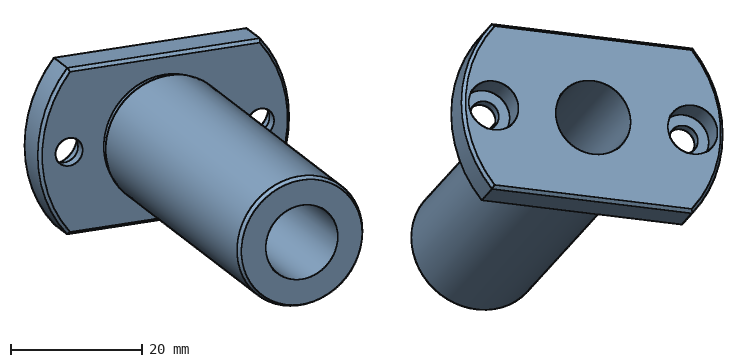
import cadquery as cq
import math

length = 57.0
flange_diameter = 42.0
flange_height = 27.0
flange_thickness = 6.0
flange_chamfer = 0.5

sleeve_diameter = 21.0
bore_diameter = 12.0
groove_width = 1.25
groove_depth = 0.35
groove_radius = 1.25
end_chamfer_length = 0.75
end_chamfer_depth = 0.4

bolt_circle_diameter = 32.0
bolt_hole_diameter = 4.5
counterbore_diameter = 8.0
counterbore_depth = 4.3


def make_flange():
    """Round flange with flats on top and bottom, chamfered on both faces."""
    disc = cq.Workplane("YZ").circle(flange_diameter / 2).extrude(flange_thickness)
    flats = cq.Workplane("YZ").rect(flange_diameter, flange_height).extrude(flange_thickness)
    return disc.intersect(flats).faces("<X or >X").chamfer(flange_chamfer)


def make_sleeve():
    """Sleeve turned about the X axis, with a round groove behind the flange and a chamfered free end."""
    radius = sleeve_diameter / 2
    groove_end = flange_thickness + groove_width

    groove_bottom = radius - groove_depth
    half_chord = math.sqrt(groove_radius**2 - (groove_radius - groove_depth) ** 2)
    groove_bottom_x = groove_end - half_chord
    arc_center = groove_bottom + groove_radius
    groove_start = arc_center - math.sqrt(groove_radius**2 - (groove_bottom_x - flange_thickness) ** 2)

    profile = (
        cq.Workplane("XY")
        .lineTo(0, groove_start)
        .lineTo(flange_thickness, groove_start)
        .threePointArc((groove_bottom_x, groove_bottom), (groove_end, radius))
        .lineTo(length - end_chamfer_length, radius)
        .lineTo(length, radius - end_chamfer_depth)
        .lineTo(length, 0)
        .close()
    )
    return profile.revolve(360, (0, 0, 0), (1, 0, 0))


def cut_holes(body):
    """Cut the through bore and the two counterbored mounting holes from the flange face."""
    hole_offset = bolt_circle_diameter / 2
    bore = cq.Workplane("YZ").circle(bore_diameter / 2).extrude(length)
    hole_places = cq.Workplane("YZ").pushPoints([(-hole_offset, 0), (hole_offset, 0)])
    bolt_holes = hole_places.circle(bolt_hole_diameter / 2).extrude(flange_thickness)
    counterbores = hole_places.circle(counterbore_diameter / 2).extrude(counterbore_depth)
    return body.cut(bore).cut(bolt_holes).cut(counterbores)


result = cut_holes(make_flange().union(make_sleeve()))